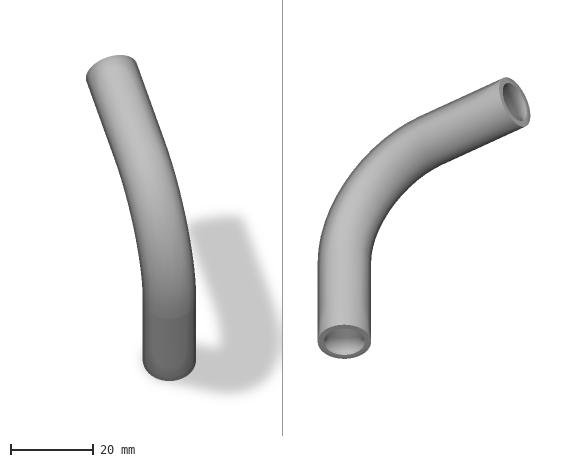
import cadquery as cq
import math

OUTER_DIAMETER = 13.0
BORE_DIAMETER = 10.0
BEND_RADIUS = 26.0
LEG_LENGTH = 25.0

diagonal = BEND_RADIUS * math.sqrt(0.5)
inlet = (-LEG_LENGTH, BEND_RADIUS)
bend_start = (0, BEND_RADIUS)
bend_middle = (diagonal, diagonal)
bend_end = (BEND_RADIUS, 0)
outlet = (BEND_RADIUS, -LEG_LENGTH)


def make_centreline():
    """Horizontal leg, quarter-circle bend, then vertical leg."""
    return (
        cq.Workplane("XZ")
        .moveTo(*inlet)
        .lineTo(*bend_start)
        .threePointArc(bend_middle, bend_end)
        .lineTo(*outlet)
    )


def make_tube():
    """Sweep the ring-shaped tube section along the centreline."""
    inlet_x, inlet_z = inlet
    section = (
        cq.Workplane("YZ", origin=(inlet_x, 0, inlet_z))
        .circle(OUTER_DIAMETER / 2)
        .circle(BORE_DIAMETER / 2)
    )
    return section.sweep(make_centreline())


result = make_tube()